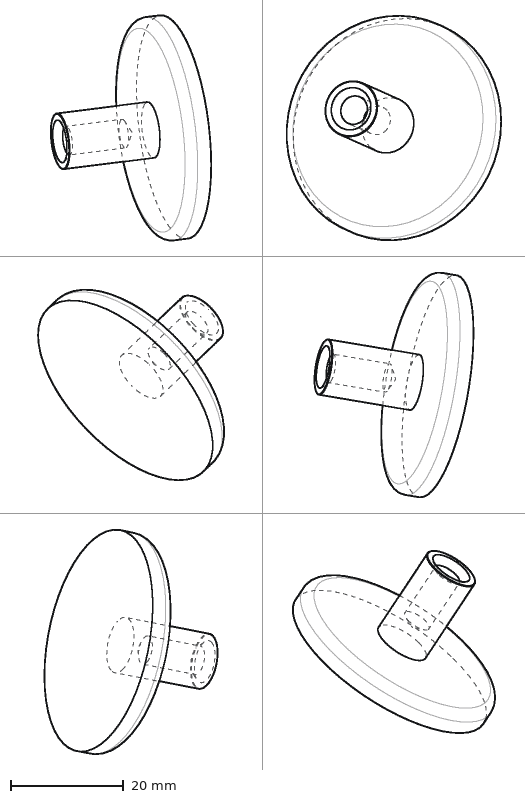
import cadquery as cq
import math

disc_radius = 20.0
disc_thickness = 4.35
rim_fillet = 1.75

overall_depth = 21.45
stud_radius = 5.0
stud_end_chamfer = 0.1

bore_radius = 2.55
bore_depth = 12.0
drill_point_angle = 118.0
countersink_radius = 3.8
countersink_angle = 82.0

stud_length = overall_depth - disc_thickness
countersink_depth = (countersink_radius - bore_radius) / math.tan(math.radians(countersink_angle / 2))
drill_point_depth = bore_radius / math.tan(math.radians(drill_point_angle / 2))


def make_disc():
    """Round base with its back face at Y = 0 and a rounded front rim."""
    disc = cq.Workplane("XZ").circle(disc_radius).extrude(disc_thickness)
    return disc.faces("<Y").edges().fillet(rim_fillet)


def make_bore():
    """Countersunk blind hole with a conical bottom, revolved about the Y axis."""
    mouth_y = -overall_depth
    bottom_y = mouth_y + bore_depth
    return (
        cq.Workplane("XY")
        .moveTo(0, mouth_y)
        .lineTo(countersink_radius, mouth_y)
        .lineTo(bore_radius, mouth_y + countersink_depth)
        .lineTo(bore_radius, bottom_y)
        .lineTo(0, bottom_y + drill_point_depth)
        .close()
        .revolve(360, (0, 0, 0), (0, 1, 0))
    )


def make_stud():
    """Cylindrical stud standing on the front face of the disc."""
    stud = (
        cq.Workplane("XZ", origin=(0, -disc_thickness, 0))
        .circle(stud_radius)
        .extrude(stud_length)
    )
    stud = stud.faces("<Y").edges().chamfer(stud_end_chamfer)
    return stud.cut(make_bore())


disc = make_disc()
stud = make_stud()

result = cq.Compound.makeCompound([disc.val(), stud.val()])